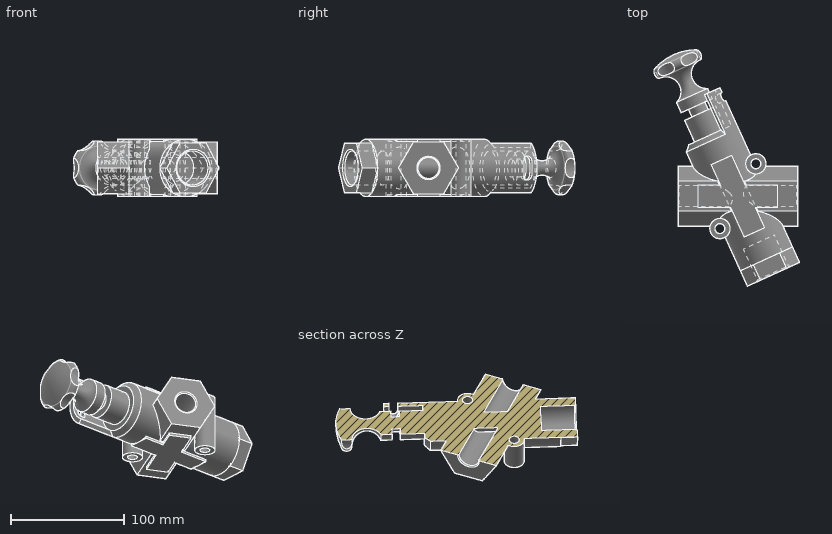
import cadquery as cq
import math

TILT = 24.5

BODY_LENGTH = 105.8
BODY_FLATS = 46.0
PORT_DIAMETER = 18.5
PORT_CHAMFER = 1.0

BARREL_DIAMETER = 50.8
BARREL_RADIUS = BARREL_DIAMETER / 2
NUT_END = -75.9
NUT_LENGTH = 15.0
BARREL_START = NUT_END + NUT_LENGTH
SHOULDER_START = 54.3
SHOULDER_END = 59.4
SHOULDER_RADIUS = 20.7
INLET_DIAMETER = 30.0
INLET_DEPTH = 31.4
INLET_CHAMFER = 1.5
CORE_DIAMETER = 21.0

PAD_LENGTH = 70.2
PAD_WIDTH = 19.9

BOSS_DIAMETER = 18.0
BOSS_HOLE_DIAMETER = 8.5
BOSS_X = 15.9
BOSS_Y = 28.6

GUARD_END = 93.8
GUARD_ANGLE = 120
SLOT_START = 81.3
SLOT_END = 89.0
SLOT_WIDTH = 21.3

STEM_DIAMETER = 30.3
STEM_END = 80.5
NECK_DIAMETER = 16.0
COLLAR_START = 87.8
COLLAR_END = 97.8
WAIST_RADIUS = 6.5
WAIST_POSITION = 110.5
KNOB_BASE = 123.3
KNOB_BASE_RADIUS = 19.5
RIM_RADIUS = 24.0
RIM_POSITION = 128.1
DOME_START = 132.7
DOME_START_RADIUS = 21.0
DOME_TOP = 137.3
GRIP_COUNT = 6
GRIP_RADIUS = 18.0
GRIP_FLOOR = 20.3

tilt = math.radians(TILT)
BARREL_AXIS = cq.Vector(-math.sin(tilt), math.cos(tilt), 0)
BARREL_SIDE = cq.Vector(math.cos(tilt), math.sin(tilt), 0)


def barrel_plane(position):
    """Plane square to the barrel axis; its x direction points toward the guard."""
    return cq.Workplane(cq.Plane(BARREL_AXIS * position, BARREL_SIDE, BARREL_AXIS))


def profile_plane():
    """Plane through the barrel axis: x is the distance from the axis, y runs along it."""
    return cq.Workplane(cq.Plane((0, 0, 0), BARREL_SIDE, (0, 0, 1)))


def hexagon_diameter(flats):
    return flats / math.cos(math.pi / 6)


def make_body():
    section = cq.Workplane("YZ").workplane(offset=-BODY_LENGTH / 2)
    return section.polygon(6, hexagon_diameter(BODY_FLATS)).extrude(BODY_LENGTH)


def make_barrel():
    nut = barrel_plane(NUT_END).polygon(6, BARREL_DIAMETER).extrude(NUT_LENGTH)
    barrel = (
        profile_plane()
        .moveTo(0, BARREL_START)
        .lineTo(BARREL_RADIUS, BARREL_START)
        .lineTo(BARREL_RADIUS, SHOULDER_START)
        .lineTo(SHOULDER_RADIUS, SHOULDER_END)
        .lineTo(0, SHOULDER_END)
        .close()
        .revolve(360, (0, 0, 0), (0, 1, 0))
    )
    return barrel.union(nut)


def make_pads():
    across = cq.Workplane("XY").box(PAD_LENGTH, PAD_WIDTH, BARREL_DIAMETER)
    along = cq.Workplane("XY").box(PAD_WIDTH, PAD_LENGTH, BARREL_DIAMETER)
    return across.union(along.rotate((0, 0, 0), (0, 0, 1), TILT))


def make_guard():
    wall = BARREL_RADIUS - SHOULDER_RADIUS
    height = GUARD_END - SHOULDER_START
    guard = (
        profile_plane()
        .moveTo(SHOULDER_RADIUS + wall / 2, SHOULDER_START + height / 2)
        .rect(wall, height)
        .revolve(GUARD_ANGLE, (0, 0, 0), (0, 1, 0))
        .rotate((0, 0, 0), BARREL_AXIS.toTuple(), -GUARD_ANGLE / 2)
    )
    slot_center = BARREL_AXIS * ((SLOT_START + SLOT_END) / 2)
    slot_plane = cq.Plane(slot_center, (0, 0, 1), BARREL_SIDE)
    slot = cq.Workplane(slot_plane).slot2D(SLOT_WIDTH, SLOT_END - SLOT_START).extrude(BARREL_DIAMETER)
    return guard.cut(slot)


def make_stem_and_knob():
    stem_radius = STEM_DIAMETER / 2
    neck_radius = NECK_DIAMETER / 2
    dome_height = DOME_TOP - DOME_START
    dome_radius = (DOME_START_RADIUS**2 + dome_height**2) / (2 * dome_height)
    middle_angle = math.asin(DOME_START_RADIUS / dome_radius) / 2
    dome_middle = (
        dome_radius * math.sin(middle_angle),
        DOME_TOP - dome_radius * (1 - math.cos(middle_angle)),
    )
    turned = (
        profile_plane()
        .moveTo(0, SHOULDER_START)
        .lineTo(stem_radius, SHOULDER_START)
        .lineTo(stem_radius, STEM_END)
        .lineTo(neck_radius, STEM_END)
        .lineTo(neck_radius, COLLAR_START)
        .lineTo(stem_radius, COLLAR_START)
        .lineTo(stem_radius, COLLAR_END)
        .threePointArc((WAIST_RADIUS, WAIST_POSITION), (KNOB_BASE_RADIUS, KNOB_BASE))
        .threePointArc((RIM_RADIUS, RIM_POSITION), (DOME_START_RADIUS, DOME_START))
        .threePointArc(dome_middle, (0, DOME_TOP))
        .close()
        .revolve(360, (0, 0, 0), (0, 1, 0))
    )
    grips = (
        barrel_plane(KNOB_BASE)
        .polarArray(GRIP_FLOOR + GRIP_RADIUS, 0, 360, GRIP_COUNT)
        .circle(GRIP_RADIUS)
        .extrude(DOME_TOP - KNOB_BASE)
    )
    return turned.cut(grips)


def tapered_mouth(plane, diameter, chamfer):
    """Cone that chamfers the mouth of a bore starting on the given plane."""
    return (
        plane.circle(diameter / 2 + chamfer)
        .workplane(offset=chamfer)
        .circle(diameter / 2)
        .loft()
    )


def cut_side_ports(part):
    bore = cq.Workplane("YZ").circle(PORT_DIAMETER / 2).extrude(BODY_LENGTH / 2, both=True)
    core = barrel_plane(-BARREL_RADIUS).circle(CORE_DIAMETER / 2).extrude(BARREL_DIAMETER)
    part = part.cut(bore.cut(core))
    for direction in (1, -1):
        face = cq.Plane((-direction * BODY_LENGTH / 2, 0, 0), (0, 1, 0), (direction, 0, 0))
        part = part.cut(tapered_mouth(cq.Workplane(face), PORT_DIAMETER, PORT_CHAMFER))
    return part


def cut_inlet(part):
    bore = barrel_plane(NUT_END).circle(INLET_DIAMETER / 2).extrude(INLET_DEPTH)
    mouth = tapered_mouth(barrel_plane(NUT_END), INLET_DIAMETER, INLET_CHAMFER)
    return part.cut(bore).cut(mouth)


def add_bosses(part):
    places = [(BOSS_X, BOSS_Y), (-BOSS_X, -BOSS_Y)]
    base = cq.Workplane("XY").workplane(offset=-BARREL_RADIUS).pushPoints(places)
    bosses = base.circle(BOSS_DIAMETER / 2).extrude(BARREL_DIAMETER)
    holes = base.circle(BOSS_HOLE_DIAMETER / 2).extrude(BARREL_DIAMETER)
    return part.union(bosses).cut(holes)


part = make_body().union(make_barrel()).union(make_pads()).union(make_guard())
part = part.union(make_stem_and_knob())
part = cut_side_ports(part)
part = cut_inlet(part)
result = add_bosses(part)